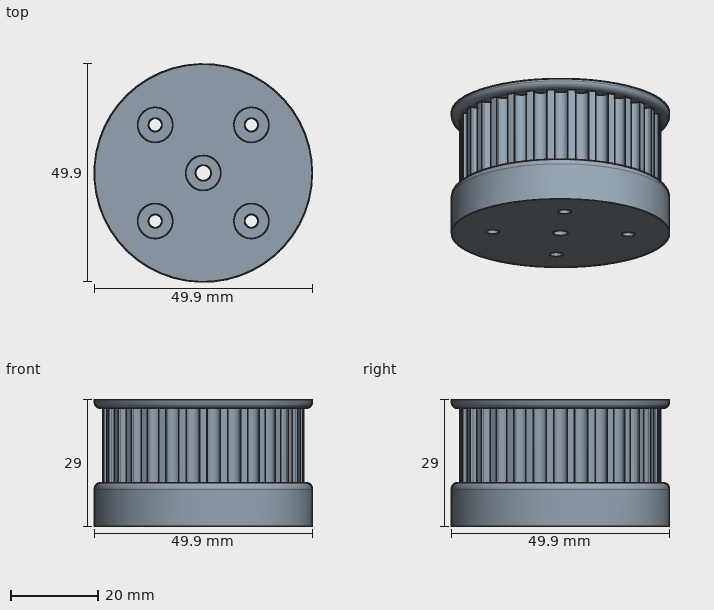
import cadquery as cq

flange_diameter = 49.9
total_height = 29.0
base_height = 10.0
top_flange_height = 2.0
flange_fillet = 1.5

tooth_count = 30
tooth_tip_radius = 23.0
groove_width = 3.05
groove_depth = 2.2

center_hole_diameter = 3.5
bolt_hole_diameter = 3.0
counterbore_diameter = 8.0
bolt_offset = 11.0

flange_radius = flange_diameter / 2
tooth_height = total_height - base_height - top_flange_height
counterbore_depth = total_height - base_height


def make_base():
    """Thick lower disc with a rounded upper rim."""
    disc = cq.Workplane("XY").circle(flange_radius).extrude(base_height)
    return disc.faces(">Z").edges().fillet(flange_fillet)


def make_top_flange():
    """Thin upper disc with a rounded lower rim."""
    flange_bottom = total_height - top_flange_height
    disc = cq.Workplane("XY", origin=(0, 0, flange_bottom)).circle(flange_radius).extrude(top_flange_height)
    return disc.faces("<Z").edges().fillet(flange_fillet)


def make_groove():
    """Cutter for one belt groove on +X: straight flanks and a half-round bottom."""
    half_width = groove_width / 2
    bottom_x = tooth_tip_radius - groove_depth
    round_center_x = bottom_x + half_width
    outside_x = flange_radius
    return (
        cq.Workplane("XY", origin=(0, 0, base_height))
        .moveTo(outside_x, -half_width)
        .lineTo(round_center_x, -half_width)
        .threePointArc((bottom_x, 0), (round_center_x, half_width))
        .lineTo(outside_x, half_width)
        .close()
        .extrude(tooth_height)
    )


def make_toothed_section():
    """Cylinder with evenly spaced belt grooves around it."""
    section = cq.Workplane("XY", origin=(0, 0, base_height)).circle(tooth_tip_radius).extrude(tooth_height)
    groove = make_groove()
    pitch_angle = 360 / tooth_count
    for index in range(tooth_count):
        section = section.cut(groove.rotate((0, 0, 0), (0, 0, 1), index * pitch_angle))
    return section


def cut_holes(body):
    """Cut the central hole and the four bolt holes."""
    top = body.faces(">Z").workplane(origin=(0, 0, total_height))
    body = top.cboreHole(center_hole_diameter, counterbore_diameter, counterbore_depth)
    top = body.faces(">Z").workplane(origin=(0, 0, total_height))
    return top.rect(2 * bolt_offset, 2 * bolt_offset, forConstruction=True).vertices().cboreHole(
        bolt_hole_diameter, counterbore_diameter, counterbore_depth
    )


pulley = make_base().union(make_toothed_section()).union(make_top_flange())
result = cut_holes(pulley)